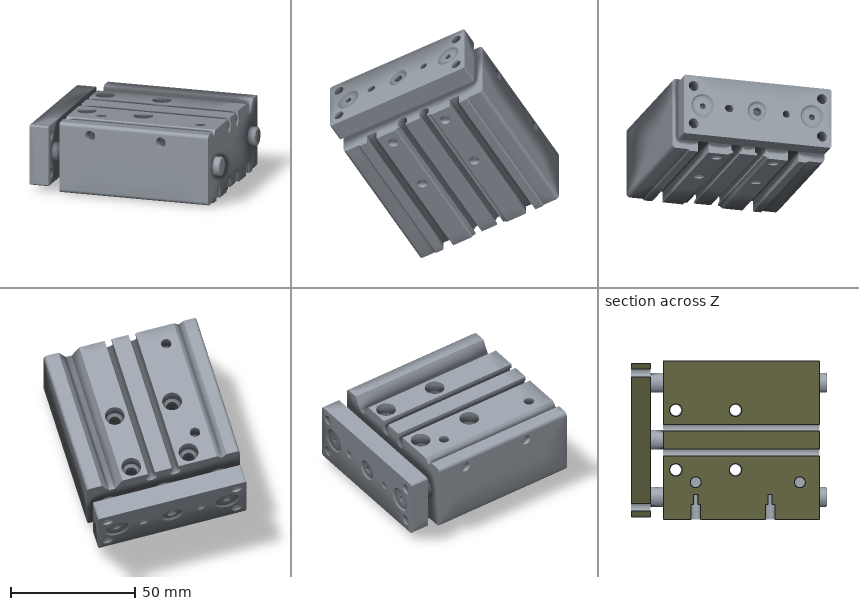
import cadquery as cq
import math


plate_thickness = 8.0
plate_gap = 5.0
housing_length = 63.05
total_length = 79
housing_x = plate_thickness + plate_gap

housing_width = 64
housing_height = 30
top_z = housing_height / 2
pad_z = -top_z
pad_outer_rise = 0.6
pad_inner_rise = 0.9
edge_z = pad_z + pad_outer_rise
centre_z = pad_z + pad_inner_rise
housing_edge_radius = 1.5
pad_outer_y = 24.6
pad_inner_y = 8.3

rod_diameter = 8.0
guide_y = 23.0
guide_end_chamfer = 0.5
piston_rod_depth = 31.6

plate_width = 62.0
plate_height = 25.0
plate_edge_chamfer = 0.5
corner_hole_diameter = 4.2
corner_hole_y = 27.0
corner_hole_z = 8.0
dowel_diameter = 3.0
dowel_y = 12.0
dowel_slot_length = 3.55
dowel_slot_depth = 3.95

guide_recess_diameter = 9.95
guide_recess_floor = 8.7
guide_socket_flats = 2.4
piston_recess_diameter = 8.5
piston_recess_floor = 7.0
piston_socket_flats = 3.3
socket_depth = 2.4

sensor_slot_y = 5.0
sensor_mouth_width = 2.9
sensor_slot_width = 4.5
sensor_lip_z = 13.0
sensor_slot_depth = 3.95

dovetail_y = 21.5
dovetail_width = 8.7
dovetail_depth = 5.4
dovetail_wall_angle = 30
notch_y = -24.5
notch_depth = 2.05
pad_slot_y = 18.95
pad_slot_width = 4.4
pad_slot_depth = 4.5

mount_x = 5.05
mount_pitch_x = 24.0
mount_y = 12.0
mount_head_diameter = 8.0
mount_head_depth = 5.0
mount_clearance_diameter = 4.8
mount_clearance_end_z = 0
mount_hole_diameter = 4.2

port_diameter = 4.2
port_depth = 6.0
passage_diameter = 1.5
passage_length = 3.95
passage_offset = 1.0
port_x_front = 13.0
top_port_x_rear = 55.0
side_port_x_rear = 43.0
top_port_y = -17.0
side_port_z = 10.5


def cylinder(start, direction, diameter, length):
    return cq.Workplane(cq.Solid.makeCylinder(diameter / 2, length, cq.Vector(*start), cq.Vector(*direction)))


def along_housing(points):
    """Closed Y-Z outline extruded over the length of the housing."""
    return cq.Workplane("YZ", origin=(housing_x, 0, 0)).polyline(points).close().extrude(housing_length)


def housing_blank():
    """Rectangular block with rounded long edges, its underside at the outboard level."""
    height = top_z - edge_z
    block = cq.Workplane().box(housing_length, housing_width, height, centered=(False, True, False))
    return block.edges("|X").fillet(housing_edge_radius).translate((housing_x, 0, edge_z))


def mounting_pad(side):
    """Raised foot under the housing with 45 degree flanks."""
    return along_housing([
        (side * pad_inner_y, pad_z),
        (side * pad_outer_y, pad_z),
        (side * (pad_outer_y + pad_outer_rise), edge_z),
        (side * (pad_outer_y + pad_outer_rise), centre_z),
        (side * (pad_inner_y - pad_inner_rise), centre_z),
    ])


def centre_relief():
    """Clears the underside between the pads."""
    half = pad_inner_y - pad_inner_rise
    return along_housing([(-half, pad_z), (half, pad_z), (half, centre_z), (-half, centre_z)])


def sensor_slot(y, side):
    """Narrow mouth opening into a wider slot with a round bottom; side is +1 on top, -1 underneath."""
    mouth = sensor_mouth_width / 2
    wide = sensor_slot_width / 2
    lip_z = side * sensor_lip_z
    bottom_z = side * (sensor_lip_z - sensor_slot_depth)
    return (
        cq.Workplane("YZ", origin=(housing_x, 0, 0))
        .moveTo(y - mouth, side * top_z)
        .lineTo(y - mouth, lip_z)
        .lineTo(y - wide, lip_z)
        .lineTo(y - wide, bottom_z + side * wide)
        .threePointArc((y, bottom_z), (y + wide, bottom_z + side * wide))
        .lineTo(y + wide, lip_z)
        .lineTo(y + mouth, lip_z)
        .lineTo(y + mouth, side * top_z)
        .close()
        .extrude(housing_length)
    )


def dovetail_groove():
    """Flat-bottomed groove that narrows downwards."""
    half_top = dovetail_width / 2
    half_bottom = half_top - dovetail_depth * math.tan(math.radians(dovetail_wall_angle))
    return along_housing([
        (dovetail_y - half_top, top_z),
        (dovetail_y - half_bottom, top_z - dovetail_depth),
        (dovetail_y + half_bottom, top_z - dovetail_depth),
        (dovetail_y + half_top, top_z),
    ])


def notch():
    """Right-angled V notch in the top face."""
    return along_housing([
        (notch_y - notch_depth, top_z),
        (notch_y, top_z - notch_depth),
        (notch_y + notch_depth, top_z),
    ])


def pad_slot(side):
    """Rectangular slot in the underside of a mounting pad."""
    inner = side * (pad_slot_y - pad_slot_width / 2)
    outer = side * (pad_slot_y + pad_slot_width / 2)
    floor_z = pad_z + pad_slot_depth
    return along_housing([(inner, pad_z), (outer, pad_z), (outer, floor_z), (inner, floor_z)])


def mounting_hole(x, y):
    """Stepped through hole with a counterbore in the top face."""
    start = (x, y, top_z)
    down = (0, 0, -1)
    head = cylinder(start, down, mount_head_diameter, mount_head_depth)
    clearance = cylinder(start, down, mount_clearance_diameter, top_z - mount_clearance_end_z)
    through = cylinder(start, down, mount_hole_diameter, housing_height)
    return head.union(clearance).union(through)


def air_port(port_start, passage_start, direction):
    """Blind port with a small off-centre passage in its floor."""
    port = cylinder(port_start, direction, port_diameter, port_depth)
    passage = cylinder(passage_start, direction, passage_diameter, port_depth + passage_length)
    return port.union(passage)


def top_port(x):
    return air_port((x, top_port_y, top_z), (x, top_port_y + passage_offset, top_z), (0, 0, -1))


def side_port(x):
    side_y = -housing_width / 2
    return air_port((x, side_y, side_port_z), (x, side_y, side_port_z - passage_offset), (0, 1, 0))


def make_housing():
    body = housing_blank()
    for side in (1, -1):
        body = body.union(mounting_pad(side))
    body = body.cut(centre_relief()).cut(dovetail_groove()).cut(notch())

    for side in (1, -1):
        body = body.cut(pad_slot(side))
        for y in (sensor_slot_y, -sensor_slot_y):
            body = body.cut(sensor_slot(y, side))

    for x in (mount_x, mount_x + mount_pitch_x):
        for y in (mount_y, -mount_y):
            body = body.cut(mounting_hole(housing_x + x, y))

    for x in (port_x_front, top_port_x_rear):
        body = body.cut(top_port(housing_x + x))
    for x in (port_x_front, side_port_x_rear):
        body = body.cut(side_port(housing_x + x))

    for y in (guide_y, -guide_y):
        body = body.cut(cylinder((housing_x, y, 0), (1, 0, 0), rod_diameter, housing_length))
    return body.cut(cylinder((housing_x, 0, 0), (1, 0, 0), rod_diameter, piston_rod_depth))


def plate_blank():
    plate = cq.Workplane().box(plate_thickness, plate_width, plate_height, centered=(False, True, True))
    return plate.edges("|X").chamfer(plate_edge_chamfer)


def guide_rod(y):
    length = total_length - plate_thickness
    rod = cylinder((plate_thickness, y, 0), (1, 0, 0), rod_diameter, length)
    return rod.faces(">X").chamfer(guide_end_chamfer)


def screw_recess(y, mouth_diameter, floor_diameter, socket_flats):
    """45 degree countersink with a hexagonal socket in its flat floor."""
    depth = (mouth_diameter - floor_diameter) / 2
    cone = cq.Workplane(cq.Solid.makeCone(
        mouth_diameter / 2, floor_diameter / 2, depth, cq.Vector(0, y, 0), cq.Vector(1, 0, 0)
    ))
    corner_diameter = socket_flats / math.cos(math.pi / 6)
    socket = (
        cq.Workplane("YZ")
        .polygon(6, corner_diameter)
        .extrude(depth + socket_depth)
        .rotate((0, 0, 0), (1, 0, 0), 90)
        .translate((0, y, 0))
    )
    return cone.union(socket)


def dowel_slot():
    """Short slot, wider than the dowel hole behind it, around the +Y dowel position."""
    return (
        cq.Workplane("YZ")
        .center(dowel_y, 0)
        .slot2D(dowel_slot_length, dowel_diameter)
        .extrude(dowel_slot_depth)
    )


def make_tool_plate():
    body = plate_blank()
    for y in (guide_y, -guide_y):
        body = body.union(guide_rod(y))
        body = body.cut(screw_recess(y, guide_recess_diameter, guide_recess_floor, guide_socket_flats))

    piston_rod_length = plate_gap + piston_rod_depth
    body = body.union(cylinder((plate_thickness, 0, 0), (1, 0, 0), rod_diameter, piston_rod_length))
    body = body.cut(screw_recess(0, piston_recess_diameter, piston_recess_floor, piston_socket_flats))

    for y in (corner_hole_y, -corner_hole_y):
        for z in (corner_hole_z, -corner_hole_z):
            body = body.cut(cylinder((0, y, z), (1, 0, 0), corner_hole_diameter, plate_thickness))
    for y in (dowel_y, -dowel_y):
        body = body.cut(cylinder((0, y, 0), (1, 0, 0), dowel_diameter, plate_thickness))
    return body.cut(dowel_slot())


housing = make_housing()
tool_plate = make_tool_plate()
result = cq.Compound.makeCompound([*housing.solids().vals(), *tool_plate.solids().vals()])